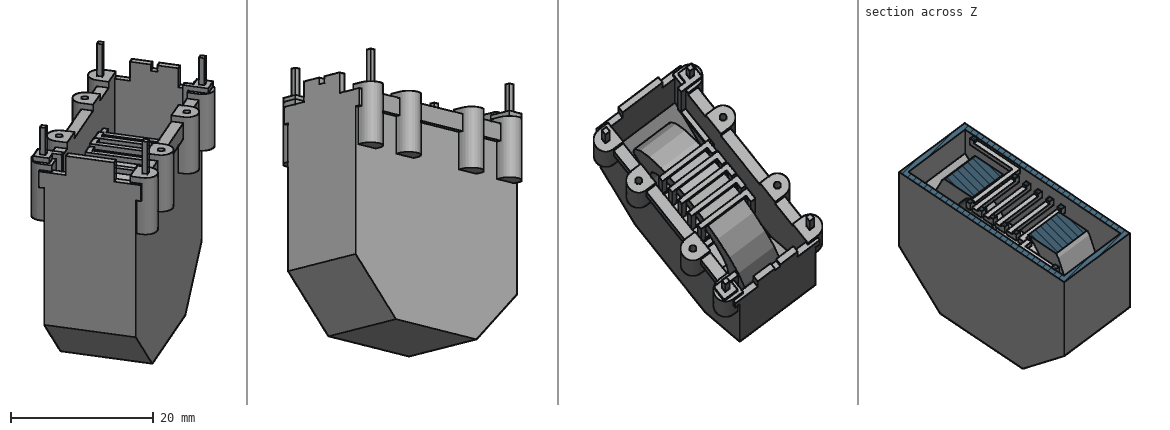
import cadquery as cq
import math

flats = 24

length = 32.0
case_width = 13.5
rim_width = 15.0
rim_height = 32.0
rim_depth = 2.5
end_slope = length / 4
wall = 1.0
cavity_width = 11.5
cavity_floor = 10.0

tab_width = 7.1
tab_top = 35.0
notch_side = 1.0

overall_width = 18.5
boss_radius = 1.75
boss_x = overall_width / 2 - boss_radius
pin_boss_y = 13.75
hole_boss_y = 6.25
boss_top = 32.95
boss_bottom = 24.05
hole_radius = 0.5
socket_depth = 3.8

pin_side = 0.8
pin_top = 38.0

core_x = -0.2
core_y = -0.4
core_z = 15.6
core_radius = 13.0
core_bore_radius = 8.93
core_width = 6.4

wire = 0.8
turns = 5
turn_left = -4.5
turn_right = 4.3
first_bar_y = 3.57
last_bar_y = -5.32
first_riser_y = 4.7
turn_clearance = 0.35
lead_top = 22.23
cap_side = 2.4
cap_top = boss_top + wire

half_length = length / 2
wall_x = cavity_width / 2
lead_bottom = lead_top - wire
half_wire = wire / 2
turn_pitch = (first_bar_y - last_bar_y) / (turns - 1)
turn_radius = core_radius + turn_clearance
cap_arm_y = pin_boss_y - cap_side / 2 + half_wire


def block(x_ends, y_ends, z_ends):
    """Box between two opposite corners, with the ends of each axis in either order."""
    x0, x1 = sorted(x_ends)
    y0, y1 = sorted(y_ends)
    z0, z1 = sorted(z_ends)
    return cq.Workplane("XY").box(x1 - x0, y1 - y0, z1 - z0, centered=False).translate((x0, y0, z0))


def around(center, size):
    """The two ends of a span of the given size about its center."""
    return (center - size / 2, center + size / 2)


def faceted_post(x, y, radius, bottom, top):
    return cq.Workplane("XY").polygon(flats, 2 * radius).extrude(top - bottom).translate((x, y, bottom))


def chamfered_prism(width, half_span, bottom, top):
    """Prism along X whose two lower ends slope inwards."""
    return (
        cq.Workplane("YZ")
        .moveTo(-half_span, top)
        .lineTo(-half_span, bottom + end_slope)
        .lineTo(end_slope - half_span, bottom)
        .lineTo(half_span - end_slope, bottom)
        .lineTo(half_span, bottom + end_slope)
        .lineTo(half_span, top)
        .close()
        .extrude(width / 2, both=True)
    )


def make_core():
    return (
        cq.Workplane("YZ")
        .polygon(flats, 2 * core_radius)
        .polygon(flats, 2 * core_bore_radius)
        .extrude(core_width)
        .translate((core_x - core_width / 2, core_y, core_z))
    )


def make_pin(side_x, side_y):
    """Square pin in a corner boss; side_x and side_y are +1 or -1."""
    return block(
        around(side_x * boss_x, pin_side),
        around(side_y * pin_boss_y, pin_side),
        (boss_top - socket_depth, pin_top),
    )


def make_boss(side_x, y):
    """Boss with a half-round outer side and a square inner side."""
    post = faceted_post(side_x * boss_x, y, boss_radius, boss_bottom, boss_top)
    root = block((side_x * boss_x, side_x * wall_x), around(y, 2 * boss_radius), (boss_bottom, boss_top))
    return post.union(root)


def make_housing():
    housing = chamfered_prism(case_width, half_length, 0, rim_height)
    housing = housing.union(
        block(around(0, rim_width), around(0, length), (rim_height - rim_depth, rim_height))
    )
    for side_y in (1, -1):
        tab_ends = (side_y * half_length, side_y * (half_length - wall))
        housing = housing.union(block(around(0, tab_width), tab_ends, (rim_height - wall, tab_top)))
    for side_x in (1, -1):
        for y in (pin_boss_y, hole_boss_y, -hole_boss_y, -pin_boss_y):
            housing = housing.union(make_boss(side_x, y))

    housing = housing.cut(chamfered_prism(cavity_width, half_length - wall, cavity_floor, tab_top))
    housing = housing.cut(
        block(around(0, notch_side), (half_length - wall, half_length), (tab_top - notch_side, tab_top))
    )
    for side_x in (1, -1):
        for side_y in (1, -1):
            housing = housing.cut(make_pin(side_x, side_y))
            housing = housing.cut(
                faceted_post(
                    side_x * boss_x, side_y * hole_boss_y, hole_radius, boss_top - socket_depth, boss_top
                )
            )
    return housing.cut(make_core())


def make_lead(side, lead_y, inner_x):
    """Pin with its wire: a cap on the boss, a drop down the side wall and a run to lead_y, inner_x."""
    wall_span = (side * wall_x, side * (wall_x - wire))
    arm_span = around(side * cap_arm_y, wire)
    pin_x = side * boss_x
    lead = make_pin(side, side)
    parts = (
        block(around(pin_x, cap_side), around(side * pin_boss_y, cap_side), (boss_top, cap_top)),
        block((pin_x, side * (wall_x - wire)), arm_span, (boss_top, cap_top)),
        block(wall_span, arm_span, (lead_bottom, cap_top)),
        block(wall_span, (side * cap_arm_y, lead_y), (lead_bottom, lead_top)),
        block((side * wall_x, inner_x), around(lead_y, wire), (lead_bottom, lead_top)),
    )
    for part in parts:
        lead = lead.union(part)
    return lead


def make_turn(bar_y, riser_y):
    """One loop: up the riser, over the ring, down, back through the bore and on to the next riser."""
    bar_bottom = core_z + math.sqrt(turn_radius**2 - (bar_y - core_y) ** 2)
    bar_top = bar_bottom + wire
    left_span = (turn_left, turn_left + wire)
    right_span = (turn_right - wire, turn_right)
    bar_span = around(bar_y, wire)
    next_riser_edge = riser_y - turn_pitch + half_wire
    turn = block((turn_left, turn_right), bar_span, (bar_bottom, bar_top))
    parts = (
        block(left_span, around(riser_y, wire), (lead_bottom, bar_top)),
        block(left_span, (bar_y, riser_y + half_wire), (bar_bottom, bar_top)),
        block(right_span, bar_span, (lead_bottom, bar_top)),
        block((turn_left, turn_right), bar_span, (lead_bottom, lead_top)),
        block(left_span, (bar_y, next_riser_edge), (lead_bottom, lead_top)),
    )
    for part in parts:
        turn = turn.union(part)
    return turn


def make_winding():
    """All turns in one piece with the lead of the +X +Y pin; it ends against the return lead."""
    winding = make_lead(1, first_riser_y, turn_left)
    for i in range(turns):
        winding = winding.union(make_turn(first_bar_y - i * turn_pitch, first_riser_y - i * turn_pitch))
    return winding


housing = make_housing()
core = make_core()
winding = make_winding()
return_lead = make_lead(-1, first_riser_y - turns * turn_pitch, turn_left + wire)
plain_pins = [make_pin(side, -side) for side in (1, -1)]

result = cq.Compound.makeCompound(
    [housing.val(), core.val(), winding.val(), return_lead.val(), *[pin.val() for pin in plain_pins]]
)